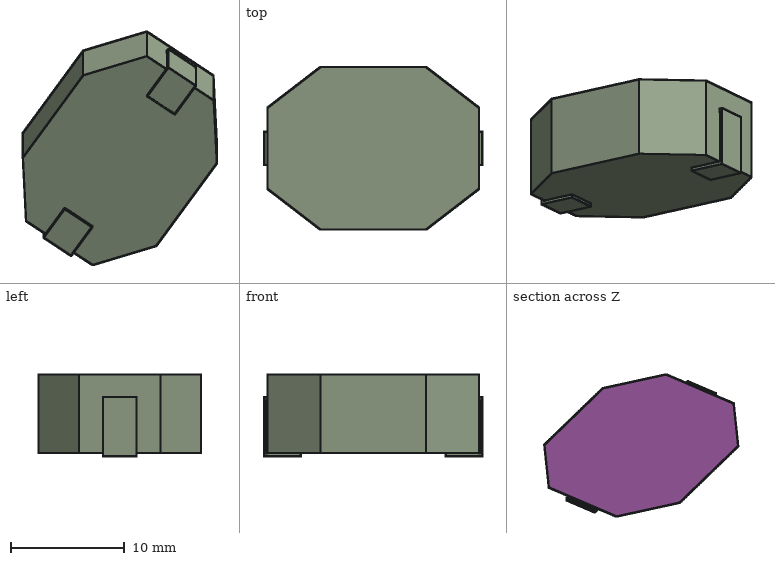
import cadquery as cq

overall_length = 19.2
overall_height = 7.22

body_length = 18.6
body_width = 14.3
end_flat_width = body_width / 2
side_flat_length = body_length / 2

terminal_width = 2.95
terminal_height = 5.2
foot_length = 3.25
foot_thickness = 0.29
lip_height = 0.29
wall_clearance = 0.05

body_height = overall_height - foot_thickness


def make_body():
    """Octagonal block standing on the terminal feet."""
    end_x = body_length / 2
    side_y = body_width / 2
    flat_x = side_flat_length / 2
    flat_y = end_flat_width / 2
    outline = [
        (end_x, -flat_y),
        (end_x, flat_y),
        (flat_x, side_y),
        (-flat_x, side_y),
        (-end_x, flat_y),
        (-end_x, -flat_y),
        (-flat_x, -side_y),
        (flat_x, -side_y),
    ]
    return (
        cq.Workplane("XY")
        .workplane(offset=foot_thickness)
        .polyline(outline)
        .close()
        .extrude(body_height)
    )


def make_terminal(side):
    """Strip with a foot under the body and a top lip against its end; side is -1 or +1 along X."""
    outer_x = side * overall_length / 2
    wall_x = side * body_length / 2
    inner_x = wall_x + side * wall_clearance
    foot_end_x = outer_x - side * foot_length
    profile = [
        (foot_end_x, 0),
        (outer_x, 0),
        (outer_x, terminal_height),
        (wall_x, terminal_height),
        (wall_x, terminal_height - lip_height),
        (inner_x, terminal_height - lip_height),
        (inner_x, foot_thickness),
        (foot_end_x, foot_thickness),
    ]
    return cq.Workplane("XZ").polyline(profile).close().extrude(terminal_width / 2, both=True)


body = make_body()
terminals = [make_terminal(side) for side in (-1, 1)]

result = cq.Compound.makeCompound([body.val(), *[terminal.val() for terminal in terminals]])